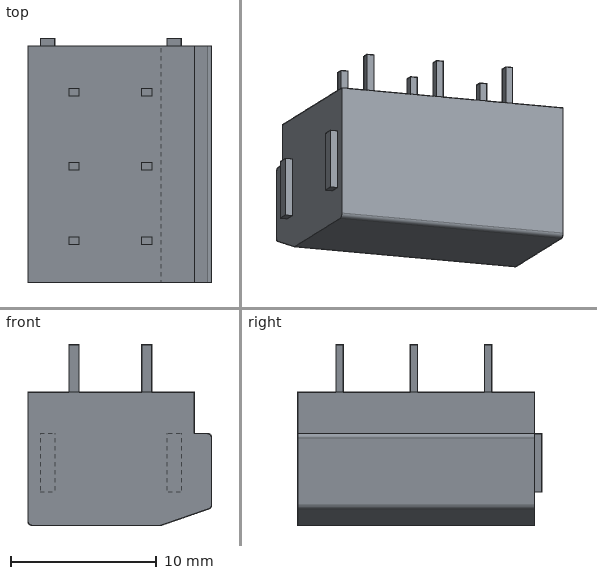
import cadquery as cq

body_width = 12.6
body_depth = 16.24
body_height = 9.14
top_width = 11.42
step_depth = 2.83
slope_width = 3.48
slope_height = 1.2
corner_radius = 0.3

pin_size_x = 0.7
pin_size_y = 0.5
pin_length = 3.26
pin_columns = 2
pin_rows = 3
pin_pitch_x = 4.99
pin_pitch_y = 5.09
pin_first_x = 3.16
pin_first_y = 2.88

rib_left_edges = (0.85, 9.53)
rib_width = 1.0
rib_bottom = 2.3
rib_height = 4.0
rib_projection = 0.5


def corner_box(size_x, size_y, size_z, corner):
    """Box whose lowest-coordinate corner is at the given point."""
    return cq.Workplane("XY").box(size_x, size_y, size_z, centered=False).translate(corner)


def make_body():
    ledge_height = body_height - step_depth
    profile = [
        (0, 0),
        (body_width - slope_width, 0),
        (body_width, slope_height),
        (body_width, ledge_height),
        (top_width, ledge_height),
        (top_width, body_height),
        (0, body_height),
    ]
    body = cq.Workplane("XZ").polyline(profile).close().extrude(-body_depth)
    left_edge = body.edges("|Y").edges("<X").edges("<Z")
    right_edges = body.edges("|Y").edges(">X")
    return left_edge.add(right_edges).fillet(corner_radius)


def make_pin(column, row):
    left = pin_first_x + column * pin_pitch_x - pin_size_x / 2
    front = pin_first_y + row * pin_pitch_y - pin_size_y / 2
    return corner_box(pin_size_x, pin_size_y, pin_length, (left, front, body_height))


def make_rib(left):
    return corner_box(rib_width, rib_projection, rib_height, (left, body_depth, rib_bottom))


result = make_body()
for column in range(pin_columns):
    for row in range(pin_rows):
        result = result.union(make_pin(column, row))
for left_edge in rib_left_edges:
    result = result.union(make_rib(left_edge))